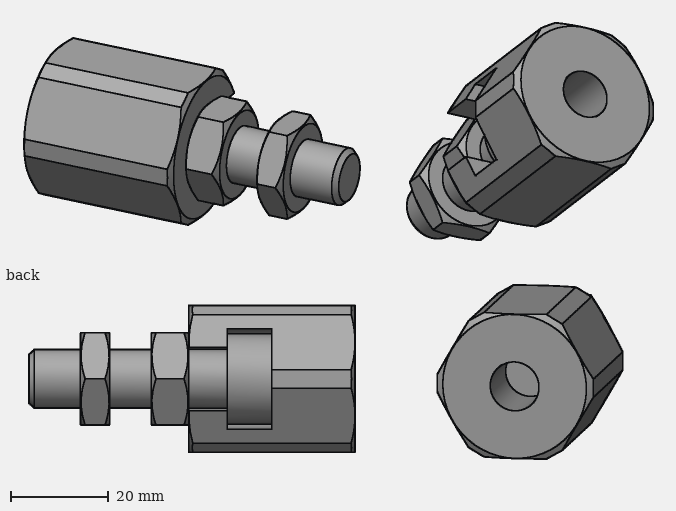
import cadquery as cq
import math

HOUSING_LENGTH = 34.0
HOUSING_FLATS = 30.0
HOUSING_CORNERS = 32.5
HOUSING_FACE_DIAMETER = 29.9
BORE_DIAMETER = 10.15

HEAD_SLOT_START = 17.1
HEAD_SLOT_END = 26.15
HEAD_SLOT_WIDTH = 20.55
NECK_SLOT_WIDTH = 12.95

TOTAL_LENGTH = 66.7
ROD_DIAMETER = 12.0
ROD_TIP_DIAMETER = 10.0
ROD_TIP_LENGTH = 1.15
HEAD_DIAMETER = 18.5
COLLAR_LENGTH = 7.7

NUT_START = 50.15
NUT_LENGTH = 6.0
NUT_FLATS = 18.95
NUT_FACE_DIAMETER = 18.5

CHAMFER_ANGLE = 30.0


def cylinder(start, length, diameter):
    """Round bar along X."""
    return cq.Workplane("YZ", origin=(start, 0, 0)).circle(diameter / 2).extrude(length)


def hexagon(start, length, flats):
    """Hexagonal bar along X with corners on +Y and -Y."""
    corners = flats / math.cos(math.radians(30))
    return cq.Workplane("YZ", origin=(start, 0, 0)).polygon(6, corners).extrude(length)


def chamfer_envelope(start, length, face_diameter, outer_diameter):
    """Round bar along X with conical ends, which trims hexagon corners."""
    face_radius = face_diameter / 2
    outer_radius = outer_diameter / 2
    cone = (outer_radius - face_radius) * math.tan(math.radians(CHAMFER_ANGLE))
    end = start + length
    profile = [
        (start, 0),
        (start, face_radius),
        (start + cone, outer_radius),
        (end - cone, outer_radius),
        (end, face_radius),
        (end, 0),
    ]
    return cq.Workplane("XY").polyline(profile).close().revolve(360, (0, 0, 0), (1, 0, 0))


def chamfered_hexagon(start, length, flats, face_diameter):
    """Hexagonal bar with both ends chamfered at the corners."""
    outer_diameter = 2 * flats / math.sqrt(3) + 0.7
    envelope = chamfer_envelope(start, length, face_diameter, outer_diameter)
    return hexagon(start, length, flats).intersect(envelope)


def side_slot(start, end, width):
    """Slot with a round bottom about the X axis, open towards +Y."""
    length = end - start
    channel = (
        cq.Workplane("XY")
        .box(length, HOUSING_CORNERS, width, centered=(False, False, True))
        .translate((start, 0, 0))
    )
    return cylinder(start, length, width).union(channel)


def make_housing():
    bar = chamfered_hexagon(0, HOUSING_LENGTH, HOUSING_FLATS, HOUSING_FACE_DIAMETER)
    corner_flats = hexagon(0, HOUSING_LENGTH, HOUSING_CORNERS).rotate((0, 0, 0), (1, 0, 0), 30)
    bore = cylinder(0, HEAD_SLOT_START, BORE_DIAMETER)
    head_slot = side_slot(HEAD_SLOT_START, HEAD_SLOT_END, HEAD_SLOT_WIDTH)
    neck_slot = side_slot(HEAD_SLOT_END, HOUSING_LENGTH, NECK_SLOT_WIDTH)
    return bar.intersect(corner_flats).cut(bore).cut(head_slot).cut(neck_slot)


def make_stud():
    rod = cylinder(HEAD_SLOT_START, TOTAL_LENGTH - HEAD_SLOT_START, ROD_DIAMETER)
    tip_inset = (ROD_DIAMETER - ROD_TIP_DIAMETER) / 2
    rod = rod.newObject([
        rod.val().chamfer(ROD_TIP_LENGTH, tip_inset, rod.faces(">X").edges().vals())
    ])
    head = cylinder(HEAD_SLOT_START, HEAD_SLOT_END - HEAD_SLOT_START, HEAD_DIAMETER)
    collar = chamfered_hexagon(HOUSING_LENGTH, COLLAR_LENGTH, NUT_FLATS, NUT_FACE_DIAMETER)
    return rod.union(head).union(collar)


def make_lock_nut():
    blank = chamfered_hexagon(NUT_START, NUT_LENGTH, NUT_FLATS, NUT_FACE_DIAMETER)
    return blank.cut(cylinder(NUT_START, NUT_LENGTH, ROD_DIAMETER))


housing = make_housing()
stud = make_stud()
lock_nut = make_lock_nut()

result = cq.Compound.makeCompound([housing.val(), stud.val(), lock_nut.val()])